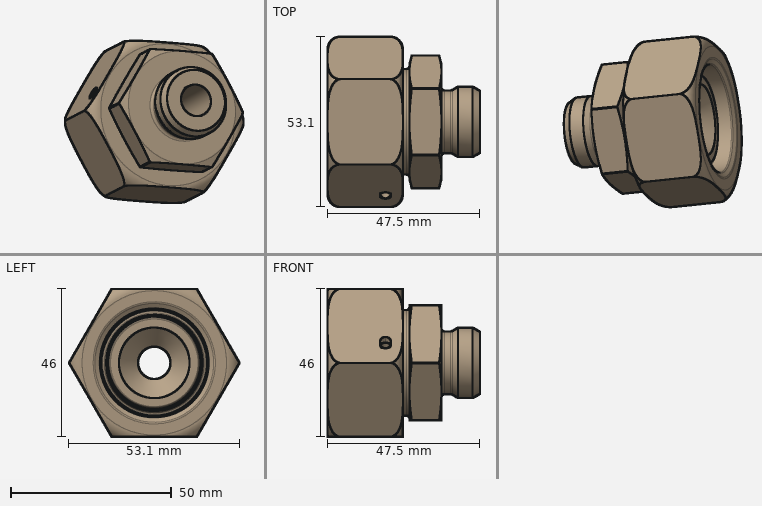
import cadquery as cq
import math


NUT_LENGTH = 23.5
NUT_FLATS = 46.0
NUT_CORNER_RADIUS = NUT_FLATS / math.sqrt(3)
NUT_END_FACE_RADIUS = 22.5
NUT_EDGE_ROUND = NUT_CORNER_RADIUS - NUT_END_FACE_RADIUS
THREAD_BORE_RADIUS = 33.84 / 2
THREAD_BORE_DEPTH = 14.0
REAR_BORE_RADIUS = 33.3 / 2
ENTRY_RADIUS = 18.75
ENTRY_SLOPE = math.radians(30)
ENTRY_OUTER_ROUND = 1.05
ENTRY_INNER_ROUND = 0.5

WIRE_RADIUS = 3.0 / 2
WIRE_RING_RADIUS = 16.7
WIRE_X = 18.05
FEED_HOLE_RADIUS = 3.25 / 2
FEED_MOUTH_RADIUS = 3.54 / 2
FEED_HOLE_OVERRUN = 10.0

OVERALL_LENGTH = 47.5
TIP_X = 4.64
TIP_RADIUS = 13.87
TIP_ROUND = 0.3
CONE_SLOPE = math.radians(12)
SHOULDER_X = 13.0
SHOULDER_FILLET = 0.5
SHOULDER_ROUND = 0.3
COLLAR_RADIUS = 32.95 / 2
BORE_RADIUS = 10.0 / 2
BORE_MOUTH_RADIUS = 22.0 / 2
BORE_MOUTH_DEPTH = BORE_MOUTH_RADIUS - BORE_RADIUS

HEX_START_X = 25.5
HEX_END_X = 35.5
HEX_FLATS = 36.0
HEX_CORNER_RADIUS = 41.4 / 2
HEX_FACE_RADIUS = 17.9
HEX_CHAMFER = (HEX_CORNER_RADIUS - HEX_FACE_RADIUS) * math.tan(math.radians(15))
HEX_FILLET = 0.9

UNDERCUT_RADIUS = 19.6 / 2
UNDERCUT_ROUND = 1.0
STUD_RADIUS = 22.0 / 2
STUD_START_X = 40.7
STUD_CHAMFER_X = 45.2
STUD_SLOPE = math.tan(math.radians(30))
STUD_END_RADIUS = STUD_RADIUS - (OVERALL_LENGTH - STUD_CHAMFER_X) * STUD_SLOPE
UNDERCUT_END_X = STUD_START_X - (STUD_RADIUS - UNDERCUT_RADIUS) / STUD_SLOPE

O_RING_SECTION_RADIUS = 1.0
O_RING_RADIUS = 14.0
O_RING_X = TIP_X + 3.75
O_RING_GROOVE_WIDTH = 2.4


def revolve_profile(corners):
    """Revolve a closed outline about X.

    Each corner is (x, radius) or (x, radius, rounding); the first corner is sharp.
    """
    outline = cq.Workplane("XY").moveTo(*corners[0])
    for index, corner in enumerate(corners[1:], start=1):
        point = cq.Vector(corner[0], corner[1])
        rounding = corner[2] if len(corner) == 3 else 0
        if rounding == 0:
            outline = outline.lineTo(point.x, point.y)
            continue
        before = cq.Vector(*corners[index - 1][:2])
        after = cq.Vector(*corners[(index + 1) % len(corners)][:2])
        to_before = (before - point).normalized()
        to_after = (after - point).normalized()
        half_angle = to_before.getAngle(to_after) / 2
        tangent_length = rounding / math.tan(half_angle)
        arc_start = point + to_before * tangent_length
        arc_end = point + to_after * tangent_length
        middle_distance = rounding / math.sin(half_angle) - rounding
        arc_middle = point + (to_before + to_after).normalized() * middle_distance
        outline = outline.lineTo(arc_start.x, arc_start.y)
        outline = outline.threePointArc((arc_middle.x, arc_middle.y), (arc_end.x, arc_end.y))
    return outline.close().revolve(360, (0, 0, 0), (1, 0, 0))


def hexagon(start_x, end_x, flats):
    """Hexagonal prism along X with flats at top and bottom."""
    across_corners = 2 * flats / math.sqrt(3)
    return cq.Workplane("YZ").workplane(offset=start_x).polygon(6, across_corners).extrude(end_x - start_x)


def ring(center_x, ring_radius, section_radius):
    """Ring of round section about the X axis."""
    section = cq.Workplane("XY").center(center_x, ring_radius).circle(section_radius)
    return section.revolve(360, (-center_x, -ring_radius, 0), (1 - center_x, -ring_radius, 0))


def make_wire_ring():
    return ring(WIRE_X, WIRE_RING_RADIUS, WIRE_RADIUS)


def make_o_ring():
    return ring(O_RING_X, O_RING_RADIUS, O_RING_SECTION_RADIUS)


def make_feed_hole():
    """Stepped hole that runs tangent to the wire ring, parallel to the lower -Y flat."""
    flat_angle = math.radians(30)
    inward = cq.Vector(0, math.sin(flat_angle), -math.cos(flat_angle))
    tangent_y = -WIRE_RING_RADIUS * math.cos(flat_angle)
    tangent_z = -WIRE_RING_RADIUS * math.sin(flat_angle)
    tangent_point = cq.Vector(WIRE_X, tangent_y, tangent_z)
    flat_distance = (NUT_FLATS / 2 - WIRE_RING_RADIUS * math.sin(flat_angle)) / math.cos(flat_angle)
    mouth_end = flat_distance - FEED_MOUTH_RADIUS * math.tan(flat_angle)
    outside = flat_distance + FEED_HOLE_OVERRUN
    hole = cq.Solid.makeCylinder(FEED_HOLE_RADIUS, outside, tangent_point, inward * -1)
    mouth_start = tangent_point - inward * mouth_end
    mouth = cq.Solid.makeCylinder(FEED_MOUTH_RADIUS, outside - mouth_end, mouth_start, inward * -1)
    return cq.Workplane(hole.fuse(mouth))


def make_nut():
    entry_depth = (ENTRY_RADIUS - THREAD_BORE_RADIUS) * math.tan(ENTRY_SLOPE)
    turned = revolve_profile([
        (THREAD_BORE_DEPTH, THREAD_BORE_RADIUS),
        (THREAD_BORE_DEPTH, REAR_BORE_RADIUS),
        (NUT_LENGTH, REAR_BORE_RADIUS),
        (NUT_LENGTH, NUT_CORNER_RADIUS, NUT_EDGE_ROUND),
        (0, NUT_CORNER_RADIUS, NUT_EDGE_ROUND),
        (0, ENTRY_RADIUS, ENTRY_OUTER_ROUND),
        (entry_depth, THREAD_BORE_RADIUS, ENTRY_INNER_ROUND),
    ])
    grooved = turned.cut(make_wire_ring()).cut(make_feed_hole())
    return grooved.intersect(hexagon(0, NUT_LENGTH, NUT_FLATS))


def make_body():
    def cone_radius(x):
        return TIP_RADIUS + (x - TIP_X) * math.tan(CONE_SLOPE)

    groove_start = O_RING_X - O_RING_GROOVE_WIDTH / 2
    groove_end = O_RING_X + O_RING_GROOVE_WIDTH / 2
    groove_floor = O_RING_RADIUS - O_RING_SECTION_RADIUS
    turned = revolve_profile([
        (OVERALL_LENGTH, BORE_RADIUS),
        (TIP_X + BORE_MOUTH_DEPTH, BORE_RADIUS),
        (TIP_X, BORE_MOUTH_RADIUS),
        (TIP_X, TIP_RADIUS, TIP_ROUND),
        (groove_start, cone_radius(groove_start)),
        (groove_start, groove_floor),
        (groove_end, groove_floor),
        (groove_end, cone_radius(groove_end)),
        (SHOULDER_X, cone_radius(SHOULDER_X), SHOULDER_FILLET),
        (SHOULDER_X, COLLAR_RADIUS, SHOULDER_ROUND),
        (HEX_START_X, COLLAR_RADIUS, HEX_FILLET),
        (HEX_START_X, HEX_FACE_RADIUS),
        (HEX_END_X, HEX_FACE_RADIUS),
        (HEX_END_X, UNDERCUT_RADIUS, HEX_FILLET),
        (UNDERCUT_END_X, UNDERCUT_RADIUS, UNDERCUT_ROUND),
        (STUD_START_X, STUD_RADIUS),
        (STUD_CHAMFER_X, STUD_RADIUS),
        (OVERALL_LENGTH, STUD_END_RADIUS),
    ])
    hex_limits = revolve_profile([
        (HEX_START_X, BORE_RADIUS),
        (HEX_START_X, HEX_FACE_RADIUS),
        (HEX_START_X + HEX_CHAMFER, HEX_CORNER_RADIUS),
        (HEX_END_X - HEX_CHAMFER, HEX_CORNER_RADIUS),
        (HEX_END_X, HEX_FACE_RADIUS),
        (HEX_END_X, BORE_RADIUS),
    ])
    chamfered_hexagon = hexagon(HEX_START_X, HEX_END_X, HEX_FLATS).intersect(hex_limits)
    return turned.union(chamfered_hexagon).cut(make_wire_ring())


body = make_body()
nut = make_nut()
o_ring = make_o_ring()
wire_ring = make_wire_ring()

result = cq.Compound.makeCompound([body.val(), nut.val(), o_ring.val(), wire_ring.val()])